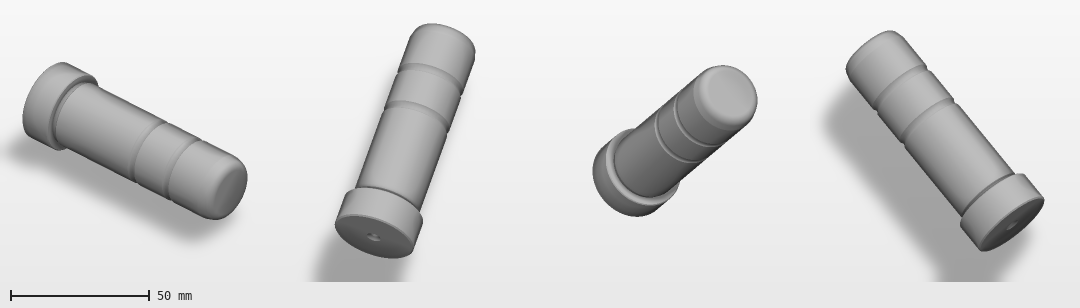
import cadquery as cq
import math

total_length = 85.0
head_diameter = 30.0
head_length = 12.0
shaft_diameter = 25.0

head_radius = head_diameter / 2
shaft_radius = shaft_diameter / 2

head_front_chamfer = 0.5
head_back_chamfer = 0.3

neck_depth = 0.5
neck_length = 1.45
neck_radius = shaft_radius - neck_depth

groove_centers = (49.0, 64.9)
groove_width = 3.1
groove_depth = 0.6

lead_start = 80.0
lead_angle = math.radians(15)
nose_radius = 3.0

countersink_diameter = 5.35
countersink_half_angle = math.radians(45)
pilot_diameter = 3.0
pilot_length = 3.0
drill_tip_half_angle = math.radians(59)


def make_pin():
    """Revolve the outer half profile about the X axis."""
    neck_end = head_length + neck_length

    nose_center_x = total_length - nose_radius
    nose_start_x = nose_center_x + nose_radius * math.sin(lead_angle)
    nose_start_r = shaft_radius - (nose_start_x - lead_start) * math.tan(lead_angle)
    nose_center_r = nose_start_r - nose_radius * math.cos(lead_angle)
    mid_angle = (lead_angle + math.pi / 2) / 2
    nose_middle = (
        nose_center_x + nose_radius * math.sin(mid_angle),
        nose_center_r + nose_radius * math.cos(mid_angle),
    )

    profile = (
        cq.Workplane("XY")
        .lineTo(0, head_radius - head_front_chamfer)
        .lineTo(head_front_chamfer, head_radius)
        .lineTo(head_length - head_back_chamfer, head_radius)
        .lineTo(head_length, head_radius - head_back_chamfer)
        .lineTo(head_length, neck_radius)
        .lineTo(neck_end, neck_radius)
        .lineTo(neck_end + neck_depth, shaft_radius)
    )
    for center in groove_centers:
        profile = profile.lineTo(center - groove_width / 2, shaft_radius).threePointArc(
            (center, shaft_radius - groove_depth),
            (center + groove_width / 2, shaft_radius),
        )
    profile = (
        profile.lineTo(lead_start, shaft_radius)
        .lineTo(nose_start_x, nose_start_r)
        .threePointArc(nose_middle, (total_length, nose_center_r))
        .lineTo(total_length, 0)
        .close()
    )
    return profile.revolve(360, (0, 0, 0), (1, 0, 0))


def make_center_hole():
    """Countersunk pilot hole with a conical drill tip."""
    countersink_radius = countersink_diameter / 2
    pilot_radius = pilot_diameter / 2
    countersink_depth = (countersink_radius - pilot_radius) / math.tan(countersink_half_angle)
    pilot_end = countersink_depth + pilot_length
    tip_end = pilot_end + pilot_radius / math.tan(drill_tip_half_angle)
    return (
        cq.Workplane("XY")
        .lineTo(0, countersink_radius)
        .lineTo(countersink_depth, pilot_radius)
        .lineTo(pilot_end, pilot_radius)
        .lineTo(tip_end, 0)
        .close()
        .revolve(360, (0, 0, 0), (1, 0, 0))
    )


result = make_pin().cut(make_center_hole())